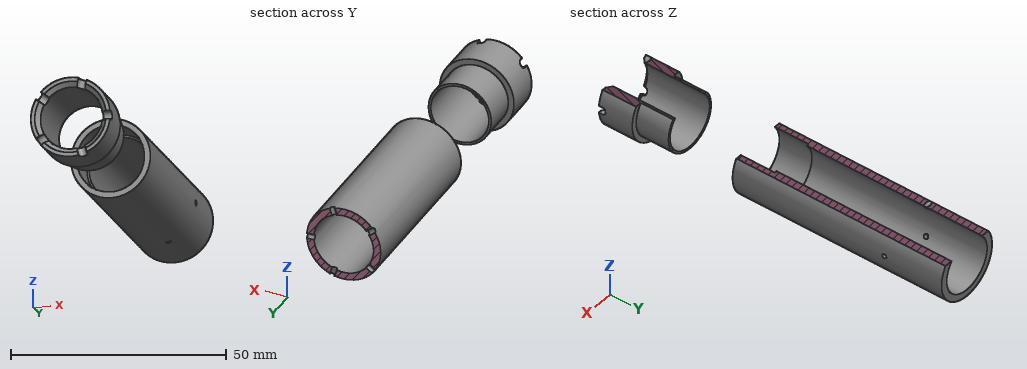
import cadquery as cq

total_length = 101.5
outer_diameter = 19.0
radial_count = 5

tube_length = 61.9
tube_bore_diameter = 15.1
socket_diameter = 16.1
socket_depth = 10.0
pin_hole_diameter = 1.2
pin_hole_from_back = 17.0

collar_length = 9.9
spigot_length = 9.5
spigot_diameter = 16.0
cap_bore_diameter = 14.8
mouth_chamfer = 1.1
slot_width = 2.0
slot_depth = 2.0


def cylinder_along_y(diameter, start_y, length):
    """Solid cylinder on the Y axis, from start_y towards +Y."""
    plane = cq.Plane(origin=(0, start_y, 0), xDir=(1, 0, 0), normal=(0, 1, 0))
    return cq.Workplane(plane).circle(diameter / 2).extrude(length)


def cut_around_axis(body, cutter):
    """Cut equally spaced copies of a cutter that reaches out along +X."""
    for index in range(radial_count):
        angle = index * 360 / radial_count
        body = body.cut(cutter.rotate((0, 0, 0), (0, 1, 0), angle))
    return body


def make_pin_hole(y):
    """Radial drill from the axis out past the tube wall."""
    return cq.Workplane("YZ").center(y, 0).circle(pin_hole_diameter / 2).extrude(outer_diameter)


def make_slot():
    """Radial slot, open at the front face, with a semicircular inner end."""
    half_width = slot_width / 2
    straight_depth = slot_depth - half_width
    return (
        cq.Workplane("YZ")
        .moveTo(0, -half_width)
        .lineTo(straight_depth, -half_width)
        .threePointArc((slot_depth, 0), (straight_depth, half_width))
        .lineTo(0, half_width)
        .close()
        .extrude(outer_diameter)
    )


def make_tube():
    """Long tube with a socket for the spigot at its front end and a ring of pin holes."""
    front_y = total_length - tube_length
    tube = cylinder_along_y(outer_diameter, front_y, tube_length)
    tube = tube.cut(cylinder_along_y(tube_bore_diameter, front_y, tube_length))
    tube = tube.cut(cylinder_along_y(socket_diameter, front_y, socket_depth))
    return cut_around_axis(tube, make_pin_hole(total_length - pin_hole_from_back))


def make_cap():
    """Slotted collar with a spigot behind it and a chamfered through bore."""
    cap_length = collar_length + spigot_length
    cap = cylinder_along_y(outer_diameter, 0, collar_length)
    cap = cap.union(cylinder_along_y(spigot_diameter, collar_length, spigot_length))
    cap = cap.cut(cylinder_along_y(cap_bore_diameter, 0, cap_length))
    cap = cap.faces("<Y").edges("%CIRCLE").edges(cq.selectors.RadiusNthSelector(0)).chamfer(mouth_chamfer)
    return cut_around_axis(cap, make_slot())


tube = make_tube()
cap = make_cap()
result = cq.Compound.makeCompound([tube.val(), cap.val()])